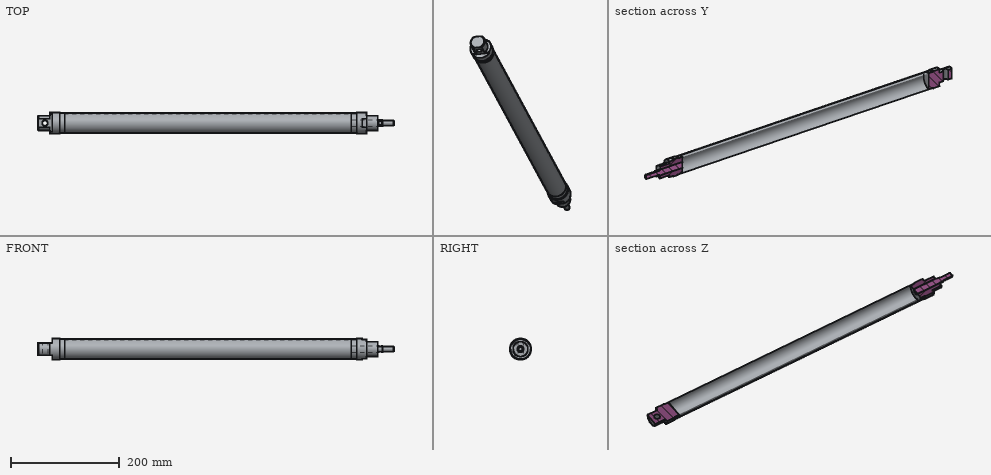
import cadquery as cq

total_length = 655.0

tube_start = 40.0
tube_end = 586.0
tube_diameter = 37.5
bore_diameter = 35.0

cap_diameter = 39.0
spigot_length = 10.0

tang_length = 22.0
tang_diameter = 27.5
tang_thickness = 23.0
tang_chamfer = 1.0
pivot_hole_diameter = 10.0
pivot_hole_position = 13.0
tang_flat_end = 26.0

front_cap_end = 604.5
neck_end = 625.0
neck_diameter = 27.5
cap_flat_start = 596.0
cap_flat_width = 36.0

rod_start = tube_end - spigot_length
rod_diameter = 12.0
rod_shoulder_end = 634.0
rod_shoulder_chamfer = 1.0
rod_flat_start = 627.0
rod_flat_end = 632.0
rod_flat_width = 10.0
thread_diameter = 10.0
thread_chamfer = 1.0


def cylinder(start, end, diameter):
    """Solid cylinder along X from start to end."""
    return cq.Workplane("YZ", origin=(start, 0, 0)).circle(diameter / 2).extrude(end - start)


def flat_cuts(start, end, width_across, diameter):
    """Pair of blocks that mill flats facing +Z and -Z, width_across apart."""
    length = end - start
    envelope = cq.Workplane("XY").box(length, diameter, diameter)
    core = cq.Workplane("XY").box(length, diameter, width_across)
    return envelope.cut(core).translate(((start + end) / 2, 0, 0))


def make_tube():
    bore = cylinder(tube_start, tube_end, bore_diameter)
    return cylinder(tube_start, tube_end, tube_diameter).cut(bore)


def make_rear_cap():
    tang = cylinder(0, tang_length, tang_diameter).faces("<X").chamfer(tang_chamfer)
    head = cylinder(tang_length, tube_start, cap_diameter)
    spigot = cylinder(tube_start, tube_start + spigot_length, bore_diameter)
    flats = flat_cuts(0, tang_flat_end, tang_thickness, cap_diameter)
    pivot_hole = (
        cq.Workplane("XY")
        .center(pivot_hole_position, 0)
        .circle(pivot_hole_diameter / 2)
        .extrude(tang_thickness, both=True)
    )
    return tang.union(head).union(spigot).cut(flats).cut(pivot_hole)


def make_front_cap():
    spigot = cylinder(rod_start, tube_end, bore_diameter)
    head = cylinder(tube_end, front_cap_end, cap_diameter)
    neck = cylinder(front_cap_end, neck_end, neck_diameter)
    flats = flat_cuts(cap_flat_start, front_cap_end, cap_flat_width, cap_diameter)
    rod_hole = cylinder(rod_start, neck_end, rod_diameter)
    return spigot.union(head).union(neck).cut(flats).cut(rod_hole)


def make_rod():
    shank = cylinder(rod_start, rod_shoulder_end, rod_diameter).faces(">X").chamfer(rod_shoulder_chamfer)
    flats = flat_cuts(rod_flat_start, rod_flat_end, rod_flat_width, rod_diameter)
    thread = cylinder(rod_shoulder_end, total_length, thread_diameter).faces(">X").chamfer(thread_chamfer)
    return shank.cut(flats).union(thread)


tube = make_tube()
rear_cap = make_rear_cap()
front_cap = make_front_cap()
rod = make_rod()

result = cq.Compound.makeCompound([tube.val(), rear_cap.val(), front_cap.val(), rod.val()])